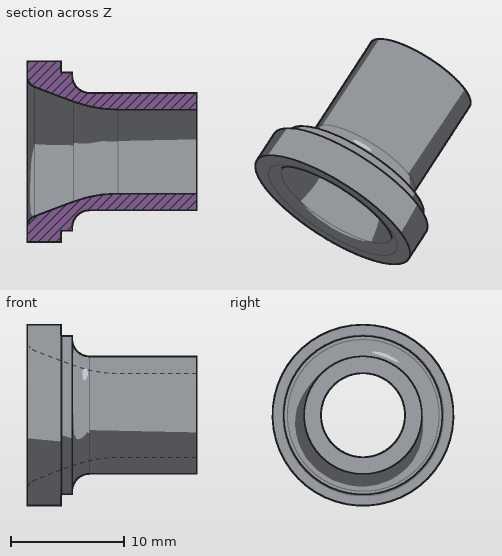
import cadquery as cq
import math

length = 15.0
flange_radius = 16.0 / 2
flange_thickness = 3.0
step_radius = 14.0 / 2
step_end = 4.0
tube_radius = 10.4 / 2
neck_fillet = 1.5

corner_fillet = 0.1

bore_radius = 7.4 / 2
mouth_radius = 13.3 / 2
mouth_rounding = 1.0
flare_half_angle = math.radians(20.7)
throat_rounding = 11.0


def point_on_arc(center, radius, angle):
    """Point (x, r) on an arc, with the angle measured from the +X direction."""
    return (center[0] + radius * math.cos(angle), center[1] + radius * math.sin(angle))


def revolve_about_x(profile):
    """Full turn of a closed (x, r) profile about the X axis."""
    return profile.revolve(360, (0, 0, 0), (1, 0, 0))


def outer_body():
    """Solid of revolution with flange, step and filleted tube."""
    corner_center = (flange_thickness + corner_fillet, step_radius + corner_fillet)
    fillet_middle = math.radians(225)
    neck_center = (step_end + neck_fillet, tube_radius + neck_fillet)
    profile = (
        cq.Workplane("XZ")
        .moveTo(0, 0)
        .lineTo(0, flange_radius)
        .lineTo(flange_thickness, flange_radius)
        .lineTo(flange_thickness, corner_center[1])
        .threePointArc(
            point_on_arc(corner_center, corner_fillet, fillet_middle),
            (corner_center[0], step_radius),
        )
        .lineTo(step_end, step_radius)
        .lineTo(step_end, neck_center[1])
        .threePointArc(
            point_on_arc(neck_center, neck_fillet, fillet_middle),
            (neck_center[0], tube_radius),
        )
        .lineTo(length, tube_radius)
        .lineTo(length, 0)
        .close()
    )
    return revolve_about_x(profile)


def flared_bore():
    """Through bore: rounded mouth, tapering cone, and a large rounding into the straight throat."""
    mouth_center = (mouth_rounding, mouth_radius)
    face_direction = math.pi
    cone_normal = 1.5 * math.pi - flare_half_angle
    cone_start = point_on_arc(mouth_center, mouth_rounding, cone_normal)
    mouth_middle = point_on_arc(mouth_center, mouth_rounding, (face_direction + cone_normal) / 2)

    cone_end_radius = bore_radius + throat_rounding * (1 - math.cos(flare_half_angle))
    cone_length = (cone_start[1] - cone_end_radius) / math.tan(flare_half_angle)
    cone_end = (cone_start[0] + cone_length, cone_end_radius)
    throat_start = (cone_end[0] + throat_rounding * math.sin(flare_half_angle), bore_radius)
    throat_center = (throat_start[0], bore_radius + throat_rounding)
    throat_middle = point_on_arc(throat_center, throat_rounding, 1.5 * math.pi - flare_half_angle / 2)

    profile = (
        cq.Workplane("XZ")
        .moveTo(0, 0)
        .lineTo(0, mouth_radius)
        .threePointArc(mouth_middle, cone_start)
        .lineTo(*cone_end)
        .threePointArc(throat_middle, throat_start)
        .lineTo(length, bore_radius)
        .lineTo(length, 0)
        .close()
    )
    return revolve_about_x(profile)


result = outer_body().cut(flared_bore())